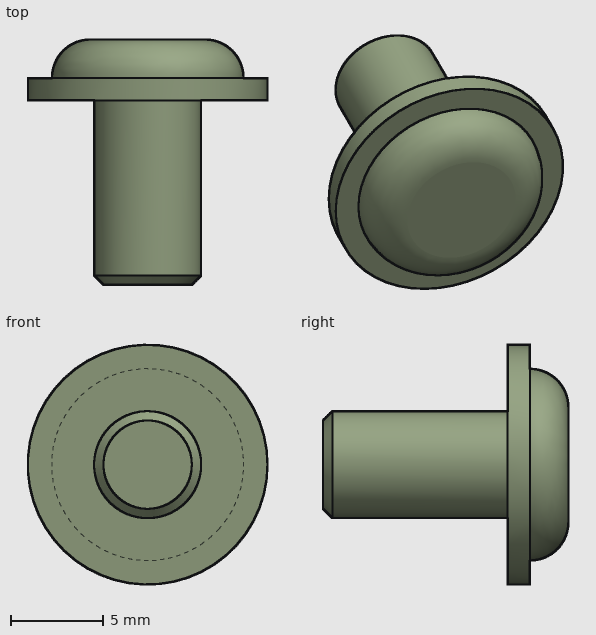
import cadquery as cq

total_length = 13.3
flange_diameter = 13.0
flange_thickness = 1.2
shank_diameter = 5.8
shank_length = 10.0
tip_chamfer = 0.5
head_diameter = 10.4

head_height = total_length - shank_length - flange_thickness
head_round = head_height

flange_radius = flange_diameter / 2
shank_radius = shank_diameter / 2
head_radius = head_diameter / 2

shank_end = -shank_length
head_base = flange_thickness
head_top = head_base + head_height

round_centre_x = head_radius - head_round
round_centre_y = head_top - head_round
arc_offset = head_round * 0.5**0.5

profile = (
    cq.Workplane("XY")
    .moveTo(0, shank_end)
    .lineTo(shank_radius - tip_chamfer, shank_end)
    .lineTo(shank_radius, shank_end + tip_chamfer)
    .lineTo(shank_radius, 0)
    .lineTo(flange_radius, 0)
    .lineTo(flange_radius, head_base)
    .lineTo(head_radius, head_base)
    .threePointArc(
        (round_centre_x + arc_offset, round_centre_y + arc_offset),
        (round_centre_x, head_top),
    )
    .lineTo(0, head_top)
    .close()
)

result = profile.revolve(360, (0, 0, 0), (0, 1, 0))